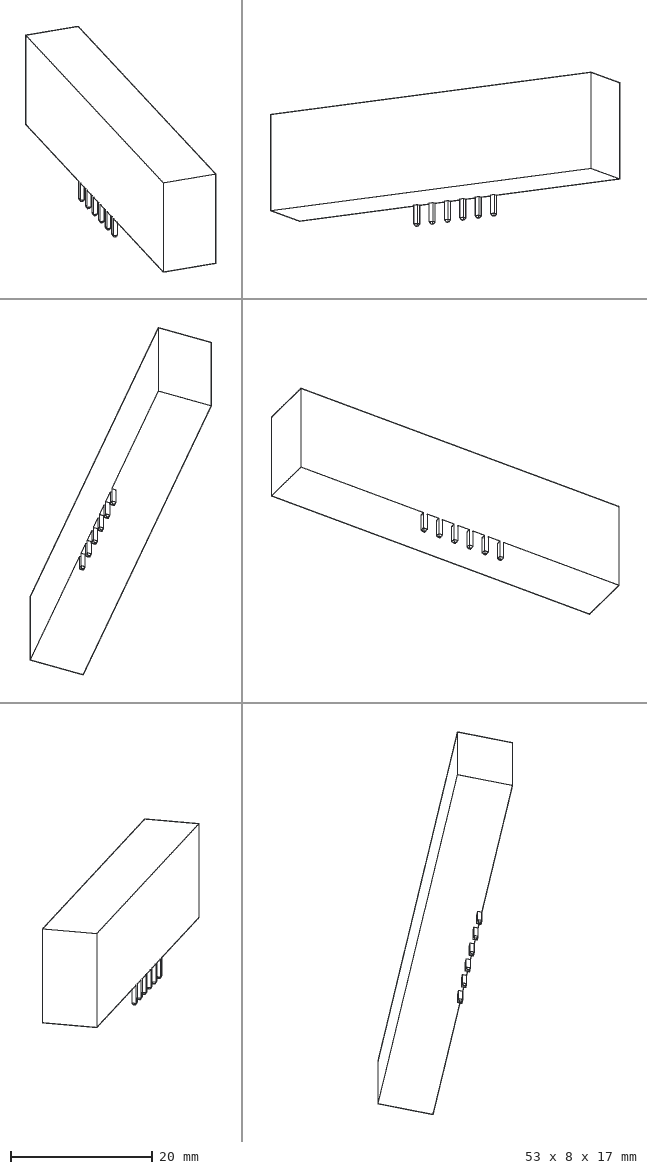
import cadquery as cq

body_length = 53.0
body_depth = 8.0
body_height = 14.0

pin_count = 6
pin_pitch = 2.55
pin_width = 0.65
pin_length = 3.0
tip_height = 0.3
tip_width = 0.25
row_center_x = 0.6
row_center_y = (pin_width - body_depth) / 2


def make_pin(x, y):
    """Square pin hanging from Z = 0, ending in a blunt pyramid tip."""
    shank_length = pin_length - tip_height
    shank = (
        cq.Workplane("XY")
        .rect(pin_width, pin_width)
        .extrude(-shank_length)
    )
    tip = (
        cq.Workplane("XY", origin=(0, 0, -shank_length))
        .rect(pin_width, pin_width)
        .workplane(offset=-tip_height)
        .rect(tip_width, tip_width)
        .loft(ruled=True)
    )
    return shank.union(tip).translate((x, y, 0))


result = cq.Workplane("XY").box(
    body_length, body_depth, body_height, centered=(True, True, False)
)

first_pin_x = row_center_x - pin_pitch * (pin_count - 1) / 2
for index in range(pin_count):
    result = result.union(make_pin(first_pin_x + index * pin_pitch, row_center_y))